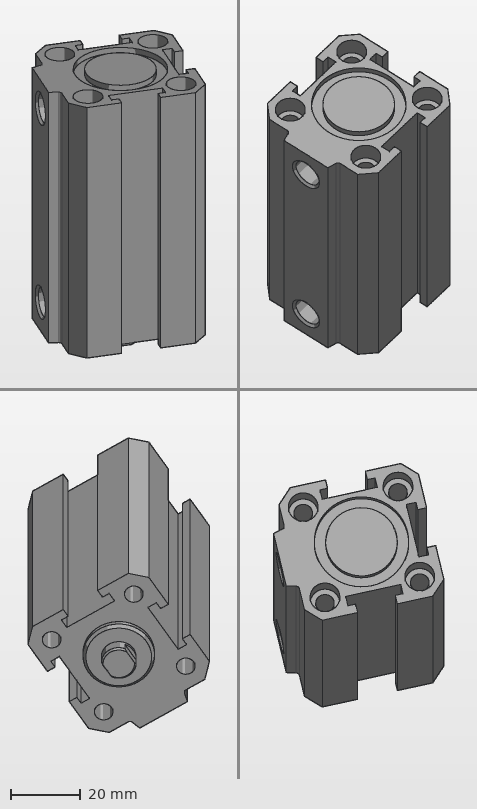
import cadquery as cq
import math

body_width = 41.0
overall_length = 87.0
overall_depth = 44.5
stem_length = 6.4
body_length = overall_length - stem_length
half_width = body_width / 2
corner_chamfer = 4.3

rail_height = overall_depth - body_width
rail_tip_half = 8.1
rail_flank_angle = 15.0
rail_root_half = rail_tip_half + rail_height * math.tan(math.radians(rail_flank_angle))
rail_root_radius = 1.0

slot_mouth_half = 5.8
slot_inner_half = 8.1
slot_lip = 2.6
slot_depth = 5.5

bolt_offset = 13.9
bolt_diameter = 5.3
counterbore_diameter = 8.5
counterbore_depth = 5.65

groove_outer_diameter = 27.1
groove_inner_diameter = 20.5
groove_depth = 1.7

port_diameter = 8.5
port_mouth_diameter = 10.0
port_mouth_chamfer = (port_mouth_diameter - port_diameter) / 2
port_depth = 7.8
port_end_distance = 9.1

collar_diameter = 20.5
collar_height = 2.35
collar_chamfer = 0.9
rod_diameter = 10.0
rod_tip_chamfer = 0.5
rod_flat_width = 8.0
rod_flat_height = 3.0


def make_profile():
    """Chamfered square with the port rail on -Y, extruded upward from Z = 0."""
    block = (
        cq.Workplane("XY")
        .rect(body_width, body_width)
        .extrude(body_length)
        .edges("|Z")
        .chamfer(corner_chamfer)
    )
    rail = (
        cq.Workplane("XY")
        .moveTo(-rail_tip_half, -half_width - rail_height)
        .lineTo(rail_tip_half, -half_width - rail_height)
        .lineTo(rail_root_half, -half_width)
        .lineTo(-rail_root_half, -half_width)
        .close()
        .extrude(body_length)
    )
    profile = block.union(rail)
    for side in (-1, 1):
        root_point = (side * rail_root_half, -half_width, body_length / 2)
        root_edge = cq.selectors.NearestToPointSelector(root_point)
        profile = profile.edges(root_edge).fillet(rail_root_radius)
    return profile


def make_slot(angle):
    """T-slot cutter for the +Y face, turned about Z by the angle."""
    mouth = (
        cq.Workplane("XY")
        .center(0, half_width - slot_depth / 2)
        .rect(2 * slot_mouth_half, slot_depth)
        .extrude(body_length)
    )
    inner_height = slot_depth - slot_lip
    inner = (
        cq.Workplane("XY")
        .center(0, half_width - slot_depth + inner_height / 2)
        .rect(2 * slot_inner_half, inner_height)
        .extrude(body_length)
    )
    return mouth.union(inner).rotate((0, 0, 0), (0, 0, 1), angle)


def make_port(height):
    """Blind round port cutter with a conical mouth, entering from the rail face."""
    radius = port_diameter / 2
    mouth_radius = port_mouth_diameter / 2
    return (
        cq.Workplane("XY")
        .polyline([
            (0, 0),
            (mouth_radius, 0),
            (radius, port_mouth_chamfer),
            (radius, port_depth),
            (0, port_depth),
        ])
        .close()
        .revolve(360, (0, 0, 0), (0, 1, 0))
        .translate((0, -half_width - rail_height, height))
    )


def make_collar():
    """Round collar hanging below the body, with a chamfered lower edge."""
    return (
        cq.Workplane("XY")
        .circle(collar_diameter / 2)
        .extrude(-collar_height)
        .faces("<Z")
        .chamfer(collar_chamfer)
    )


def make_housing():
    housing = make_profile()
    for angle in (0, 90, -90):
        housing = housing.cut(make_slot(angle))

    housing = (
        housing.faces(">Z")
        .workplane(origin=(0, 0, body_length))
        .rect(2 * bolt_offset, 2 * bolt_offset, forConstruction=True)
        .vertices()
        .cboreHole(bolt_diameter, counterbore_diameter, counterbore_depth)
    )

    groove = (
        cq.Workplane("XY", origin=(0, 0, body_length))
        .circle(groove_outer_diameter / 2)
        .circle(groove_inner_diameter / 2)
        .extrude(-groove_depth)
    )
    housing = housing.cut(groove)

    for height in (port_end_distance, body_length - port_end_distance):
        housing = housing.cut(make_port(height))
    return housing.union(make_collar())


def make_rod():
    """Rod end below the collar, with a chamfered tip and two wrench flats facing X."""
    rod = (
        cq.Workplane("XY", origin=(0, 0, -collar_height))
        .circle(rod_diameter / 2)
        .extrude(collar_height - stem_length)
        .faces("<Z")
        .chamfer(rod_tip_chamfer)
    )
    flat_zone = cq.Workplane("XY", origin=(0, 0, -stem_length))
    waste = (
        flat_zone.rect(2 * rod_diameter, 2 * rod_diameter)
        .rect(rod_flat_width, 2 * rod_diameter)
        .extrude(rod_flat_height)
    )
    return rod.cut(waste)


housing = make_housing()
rod = make_rod()
result = cq.Compound.makeCompound([housing.val(), rod.val()])